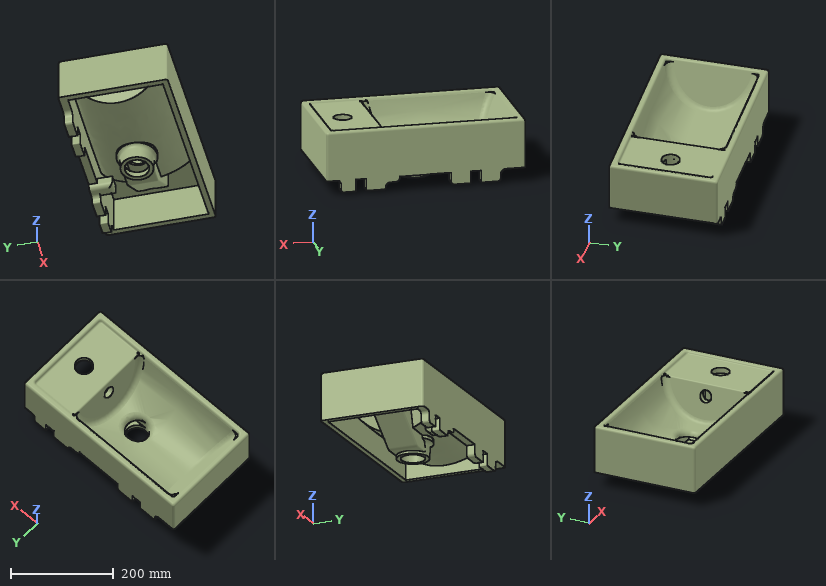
import cadquery as cq
import math

length = 400.0
width = 220.0
height = 100.0
corner_radius = 5.0
top_edge_radius = 5.5
wall = 12.0

tray_floor_length = 368.0
tray_floor_width = 187.0
tray_depth = 6.0
tray_wall_slope = math.radians(63.4)
tray_corner_radius = 4.0
tray_rim_radius = 5.5
tray_floor_radius = 4.0
deck_z = height - tray_depth

bowl_left_top_x = -tray_floor_length / 2
bowl_right_top_x = 81.0
left_slope = tray_wall_slope
right_slope = math.radians(75.7)
left_foot_radius = 15.0
right_foot_radius = 13.0
deck_edge_radius = 4.0
bowl_stations = [(-240.0, 22.5), (0.0, 13.0), (160.0, 22.0)]

drain_radius = 24.0
drain_edge_radius = 14.0
spout_depth = 30.0
spout_end_radius = 32.5
spout_neck_radius = 34.0
spout_neck_z = -7.0
spout_flare = 6.5
spout_top_z = 8.0
spout_flare_top_z = 1.0
spout_flare_radius = 9.0
faucet_x = 141.0
faucet_radius = 18.0
overflow_z = 69.0
overflow_radius = 12.0

channel_depth = 24.5
channel_half_width = 31.0
channel_bend_x = 49.0
channel_rim_x = 82.0
channel_back_x = 128.0
channel_wall = 7.0
channel_edge_radius = 3.0
channel_bend_radius = 16.0

foot_depth = 24.5
foot_thickness = 17.5
foot_small_radius = 2.0
flared_foot_radius = 6.0
inner_foot_radius = 7.0
webbed_foot_radius = 3.0
end_foot_radius = 5.0
flared_foot_flare = 11.0
webbed_foot_flare = 9.5
end_foot_flare = 8.0
flared_foot_x = (-150.0, -110.5)
inner_foot_x = (-90.0, -50.0)
webbed_foot_x = (81.0, 120.0)
end_foot_x = (140.5, 170.5)
web_depth = 11.0
web_left_x = 52.0
web_right_x = 82.5
web_front_y = 62.5
web_edge_radius = 9.5

edge_margin = 0.5


def box(x0, x1, y0, y1, z0, z1):
    """Axis-aligned block between two opposite corners."""
    return cq.Workplane("XY").box(x1 - x0, y1 - y0, z1 - z0, centered=False).translate((x0, y0, z0))


def prism_along_y(points, y0, y1):
    """Polygon in X and Z, extruded from y0 to y1."""
    return cq.Workplane("XZ", origin=(0, y1, 0)).polyline(points).close().extrude(y1 - y0)


def bowl_solid(offset):
    """Space of the bowl, grown outward by offset on its floor and both ends."""
    half_width = tray_floor_width / 2 + offset
    trough = cq.Workplane("YZ").workplane(offset=bowl_stations[0][0])
    previous_x = bowl_stations[0][0]
    for x, bottom_z in bowl_stations:
        trough = (
            trough.workplane(offset=x - previous_x)
            .moveTo(-half_width, deck_z)
            .threePointArc((0, bottom_z - offset), (half_width, deck_z))
            .close()
        )
        previous_x = x
    trough = trough.loft()
    left_top = bowl_left_top_x - offset / math.sin(left_slope)
    right_top = bowl_right_top_x + offset / math.sin(right_slope)
    ends = prism_along_y(
        [
            (left_top, deck_z),
            (left_top + height / math.tan(left_slope), deck_z - height),
            (right_top - height / math.tan(right_slope), deck_z - height),
            (right_top, deck_z),
        ],
        -width,
        width,
    )
    return trough.intersect(ends)


def body():
    """Outer block, hollowed from below around the bowl shell."""
    block = cq.Workplane("XY").box(length, width, height, centered=(True, True, False))
    block = block.edges("|Z").fillet(corner_radius)
    block = block.faces(">Z").edges().fillet(top_edge_radius)
    cavity = box(
        wall - length / 2,
        length / 2 - wall,
        wall - width / 2,
        width / 2 - foot_thickness,
        0,
        deck_z - wall,
    )
    return block.cut(cavity.cut(bowl_solid(wall)))


def spout():
    """Tapered drain outlet, flaring into the underside of the bowl."""
    flare_radius = spout_neck_radius + spout_flare
    return (
        cq.Workplane("XZ")
        .moveTo(0, -spout_depth)
        .lineTo(spout_end_radius, -spout_depth)
        .lineTo(spout_neck_radius, spout_neck_z)
        .radiusArc((flare_radius, spout_flare_top_z), spout_flare_radius)
        .lineTo(flare_radius, spout_top_z)
        .lineTo(0, spout_top_z)
        .close()
        .revolve(360, (0, 0, 0), (0, 1, 0))
    )


def channel(inset):
    """Overflow channel below and behind the bowl, shrunk by inset."""
    floor_z = inset - channel_depth
    back_x = channel_back_x - inset
    top_z = deck_z - wall
    half_width = channel_half_width - inset
    slope = math.atan2(channel_depth, channel_rim_x - channel_bend_x)
    bend_x = channel_bend_x - inset * math.tan(slope / 2)
    back_z = floor_z + math.tan(slope) * (back_x - bend_x)
    outline = [(0, floor_z), (bend_x, floor_z), (back_x, back_z), (back_x, top_z), (0, top_z)]
    return prism_along_y(outline, -half_width, half_width)


def channel_form():
    """Outside of the channel, with its bend and lower side edges rounded."""
    form = channel(0)
    form = form.faces("<Z").edges(">X").fillet(channel_bend_radius)
    return form.faces("<Z").edges("|X").fillet(channel_edge_radius)


def foot(limits, left_radius, right_radius, left_flare=0, right_flare=0, root_z=0):
    """Foot between two X limits with rounded lower corners and flares where it meets root_z."""
    x0, x1 = limits
    outline = cq.Workplane("XZ", origin=(0, width / 2, 0)).moveTo(x0 - left_flare, root_z)
    if left_flare:
        outline = outline.radiusArc((x0, root_z - left_flare), left_flare)
    outline = (
        outline.lineTo(x0, left_radius - foot_depth)
        .radiusArc((x0 + left_radius, -foot_depth), -left_radius)
        .lineTo(x1 - right_radius, -foot_depth)
        .radiusArc((x1, right_radius - foot_depth), -right_radius)
        .lineTo(x1, root_z - right_flare)
    )
    if right_flare:
        outline = outline.radiusArc((x1 + right_flare, root_z), right_flare)
    outline = outline.lineTo(x1 + right_flare, wall).lineTo(x0 - left_flare, wall)
    return outline.close().extrude(foot_thickness)


def feet():
    """Four feet, plus the web that joins the third foot behind the overflow channel."""
    web = box(web_left_x, web_right_x, web_front_y, width / 2, -web_depth, wall)
    web = web.faces("<Z").edges("<Y or |Y").fillet(web_edge_radius)
    webbed_foot = foot(
        webbed_foot_x,
        webbed_foot_radius,
        foot_small_radius,
        left_flare=webbed_foot_flare,
        root_z=-web_depth,
    )
    return (
        web.union(foot(flared_foot_x, flared_foot_radius, foot_small_radius, left_flare=flared_foot_flare))
        .union(foot(inner_foot_x, foot_small_radius, inner_foot_radius))
        .union(webbed_foot)
        .union(foot(end_foot_x, foot_small_radius, end_foot_radius, right_flare=end_foot_flare))
    )


def tray():
    """Shallow recess whose walls lean outward from its floor to the top face."""
    floor = cq.Sketch().rect(tray_floor_length, tray_floor_width).vertices().fillet(tray_corner_radius)
    lean = math.degrees(tray_wall_slope) - 90
    return cq.Workplane("XY", origin=(0, 0, deck_z)).placeSketch(floor).extrude(tray_depth, taper=lean)


def rounded_bowl():
    """Bowl space with the feet of both end planes rounded."""
    bowl = bowl_solid(0)
    left_foot = bowl.faces("<X").edges("not |Y")
    bowl = left_foot.fillet(left_foot_radius)
    right_foot = bowl.faces(">X").edges("not |Y")
    return right_foot.fillet(right_foot_radius)


def vertical_hole(x, radius):
    """Cylinder through the full height at the given X."""
    return cq.Workplane("XY", origin=(x, 0, -height)).circle(radius).extrude(3 * height)


def deck_edge_tool():
    """Sliver that rounds the edge between the deck and the right end of the bowl."""
    setback = deck_edge_radius * math.tan(right_slope / 2)
    deck_x = bowl_right_top_x + setback
    wall_x = bowl_right_top_x - setback * math.cos(right_slope)
    wall_z = deck_z - setback * math.sin(right_slope)
    return (
        cq.Workplane("XZ", origin=(0, tray_floor_width / 2, 0))
        .moveTo(deck_x, deck_z)
        .radiusArc((wall_x, wall_z), -deck_edge_radius)
        .lineTo(wall_x, height)
        .lineTo(deck_x, height)
        .close()
        .extrude(tray_floor_width)
    )


def edges_near(shape, x0, x1, half_width, z0, z1):
    """Edges whose centres lie between the given X and Z limits and within half_width of y = 0."""
    return shape.edges(cq.selectors.BoxSelector((x0, -half_width, z0), (x1, half_width, z1)))


basin = body().cut(tray())
rim_x = length / 2 - top_edge_radius - edge_margin
rim_y = width / 2 - top_edge_radius - edge_margin
rim = edges_near(basin.faces(">Z"), -rim_x, rim_x, rim_y, height - edge_margin, height + edge_margin)
basin = rim.fillet(tray_rim_radius)

shell_space = bowl_solid(wall)
basin = basin.union(spout()).union(feet()).union(channel_form().cut(shell_space))
basin = basin.cut(rounded_bowl()).cut(vertical_hole(0, drain_radius))
drain_edge = edges_near(basin, -drain_radius, drain_radius, drain_radius, wall, deck_z / 2).edges("not |Z")
basin = drain_edge.fillet(drain_edge_radius)

deck_x = bowl_right_top_x + edge_margin
deck_foot = edges_near(basin, deck_x, length / 2, width / 2, deck_z - edge_margin, deck_z + edge_margin)
basin = deck_foot.fillet(tray_floor_radius)
basin = basin.cut(deck_edge_tool()).cut(vertical_hole(faucet_x, faucet_radius))

overflow_length = bowl_right_top_x + wall
overflow = cq.Workplane("YZ").center(0, overflow_z).circle(overflow_radius).extrude(overflow_length)
result = basin.cut(channel(channel_wall).cut(shell_space)).cut(overflow).solids()